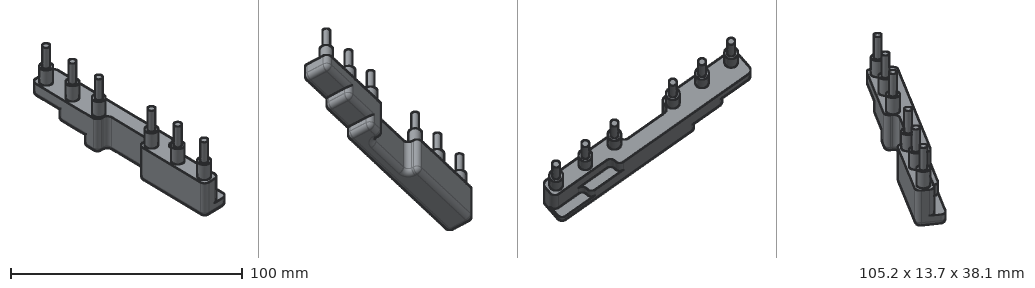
import cadquery as cq

length = 105.2
width = 13.7
total_height = 38.1
corner_radius = 2.5

stair_run = 15.5
stair_depths = [7.6, 13.0, 18.6]
body_height = stair_depths[-1]

notch_left = 40.1
notch_right = 65.0
notch_depth = 6.0

recess_width = 2 * corner_radius
recess_clearance = 0.6
recess_depths = stair_depths[:-1]

pin_pitch = 16.0
pin_slots = [-3, -2, -1, 1, 2, 3]
pin_y = 4.3
pin_diameter = 3.5
collar_diameter = 6.0
collar_height = 8.2
pin_top = total_height - body_height


def rounded_block(left, depth):
    """Notched block from X = left to the right end, rounded everywhere but its top."""
    block = cq.Workplane("XY").box(length - left, width, depth, centered=False)
    block = block.translate((left, 0, -depth))
    notch = cq.Workplane("XY").box(notch_right - notch_left, notch_depth, depth, centered=False)
    block = block.cut(notch.translate((notch_left, 0, -depth)))
    return block.edges("|Z").fillet(corner_radius).faces("<Z").edges().fillet(corner_radius)


def recess(left, depth):
    """Back corner recess with its inner, entry and outlet corners rounded."""
    r = corner_radius
    wall = width - recess_width
    outline = (
        cq.Workplane("XY")
        .moveTo(left - r, width)
        .radiusArc((left, width - r), r)
        .radiusArc((left + r, wall), -r)
        .lineTo(length - r, wall)
        .radiusArc((length, wall - r), r)
        .lineTo(length, width)
        .close()
    )
    return outline.extrude(-depth)


def pin(x):
    """Pin with a thicker collar at its base."""
    base = cq.Workplane("XY").center(x, pin_y)
    collar = base.circle(collar_diameter / 2).extrude(collar_height)
    return collar.union(base.circle(pin_diameter / 2).extrude(pin_top))


result = rounded_block(0, stair_depths[0])
for step, depth in enumerate(stair_depths[1:], start=1):
    result = result.union(rounded_block(step * stair_run, depth))

for steps_from_end, depth in zip([2, 1], recess_depths):
    recess_left = length - steps_from_end * stair_run - recess_clearance
    result = result.cut(recess(recess_left, depth))

for slot in pin_slots:
    result = result.union(pin(length / 2 + slot * pin_pitch))